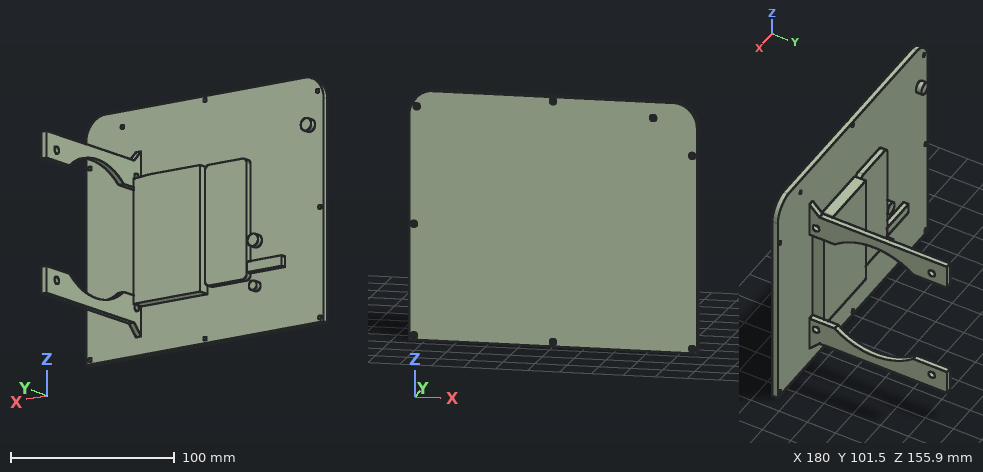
import cadquery as cq
import math

panel_width = 180.0
panel_height = 155.9
panel_thickness = 4.0
panel_corner_radius = 15.0
panel_corner_drop = 14.8
overall_depth = 101.5

screw_hole_diameter = 2.3
screw_head_diameter = 4.0
screw_head_angle = 90.0
screw_edge_offset = 2.9
screw_upper_z = 146.0
screw_left_upper_x = 4.7
screw_right_upper_x = 152.6
screw_top_z = 153.4
screw_right_z = 123.5
screw_left_z = 72.5
screw_right_x = panel_width - screw_edge_offset
screw_positions = [
    (screw_edge_offset, screw_edge_offset),
    (panel_width / 2, screw_edge_offset),
    (screw_right_x, screw_edge_offset),
    (screw_edge_offset, screw_left_z),
    (screw_right_x, screw_right_z),
    (screw_left_upper_x, screw_upper_z),
    (screw_right_upper_x, screw_upper_z),
    (panel_width / 2, screw_top_z),
]

arm_left_x = 138.2
arm_thickness = 4.0
arm_center_y = 49.7
arm_center_z = 70.0
arm_outer_half_height = 51.1
arm_inner_half_height = 34.0
arm_bore_radius = 44.0
arm_gusset = 7.2
arm_hole_diameter = 4.5
arm_hole_spacing = 82.0

boss_height = 4.0
tall_pad_height = 2 * boss_height
tall_pad_left_x = 87.8
tall_pad_bend_x = 126.2
tall_pad_bottom_z = 30.6
tall_pad_top_z = 110.3
tall_pad_end_drop = 0.9

rounded_pad_left_x = 55.5
rounded_pad_right_x = 87.0
rounded_pad_bottom_z = 34.5
rounded_pad_top_z = 110.7
rounded_pad_corner_radius = 3.0

bar_left_x = 29.2
bar_bottom_z = 38.7
bar_top_z = 45.4
bar_height = 3.6

large_boss_diameter = 8.0
large_boss_positions = [(10.5, 125.0), (50.8, 58.3)]
small_boss_diameter = 6.0
small_boss_position = (50.8, 29.7)


def upright_plane(y):
    """Sketch plane at depth y, with local axes along X and Z."""
    return cq.Workplane("XZ", origin=(0, y, 0))


def extrude_back(sketch, height):
    """Extrude an upright sketch toward the back (+Y)."""
    return sketch.extrude(-height)


def make_panel():
    """Panel whose upper corner arcs leave the sides smoothly and meet the top edge at a slight angle."""
    arc_center_z = panel_height - panel_corner_drop
    arc_end_offset = math.sqrt(panel_corner_radius**2 - panel_corner_drop**2)
    arc_end_x = panel_corner_radius - arc_end_offset
    outline = (
        upright_plane(0)
        .lineTo(panel_width, 0)
        .lineTo(panel_width, arc_center_z)
        .radiusArc((panel_width - arc_end_x, panel_height), -panel_corner_radius)
        .lineTo(arc_end_x, panel_height)
        .radiusArc((0, arc_center_z), -panel_corner_radius)
        .close()
    )
    return extrude_back(outline, panel_thickness)


def make_arms():
    arm_top_z = arm_center_z + arm_outer_half_height
    gusset_y = panel_thickness + arm_gusset
    side = cq.Workplane("YZ", origin=(arm_left_x, 0, 0))
    blank = side.polyline([
        (panel_thickness, arm_center_z - arm_outer_half_height - arm_gusset),
        (gusset_y, arm_center_z - arm_outer_half_height),
        (overall_depth, arm_center_z - arm_outer_half_height),
        (overall_depth, arm_top_z),
        (gusset_y, arm_top_z),
        (panel_thickness, arm_top_z + arm_gusset),
    ]).close().extrude(arm_thickness)
    gap_depth = overall_depth - panel_thickness
    gap = (
        side.center((overall_depth + panel_thickness) / 2, arm_center_z)
        .rect(gap_depth, 2 * arm_inner_half_height)
        .extrude(arm_thickness)
    )
    bore = side.center(arm_center_y, arm_center_z).circle(arm_bore_radius).extrude(arm_thickness)
    holes = (
        side.center(arm_center_y, arm_center_z)
        .rect(arm_hole_spacing, arm_hole_spacing, forConstruction=True)
        .vertices()
        .circle(arm_hole_diameter / 2)
        .extrude(arm_thickness)
    )
    return blank.cut(gap).cut(bore).cut(holes)


def make_tall_pad():
    outline = upright_plane(panel_thickness).polyline([
        (tall_pad_left_x, tall_pad_bottom_z),
        (arm_left_x, tall_pad_bottom_z),
        (arm_left_x, tall_pad_top_z - tall_pad_end_drop),
        (tall_pad_bend_x, tall_pad_top_z),
        (tall_pad_left_x, tall_pad_top_z),
    ]).close()
    return extrude_back(outline, tall_pad_height)


def make_pad(left_x, right_x, bottom_z, top_z, height):
    outline = (
        upright_plane(panel_thickness)
        .center((left_x + right_x) / 2, (bottom_z + top_z) / 2)
        .rect(right_x - left_x, top_z - bottom_z)
    )
    return extrude_back(outline, height)


def make_bosses(positions, diameter):
    outline = upright_plane(panel_thickness).pushPoints(positions).circle(diameter / 2)
    return extrude_back(outline, boss_height)


rounded_pad = make_pad(
    rounded_pad_left_x, rounded_pad_right_x, rounded_pad_bottom_z, rounded_pad_top_z, boss_height
).edges("|Y").fillet(rounded_pad_corner_radius)
bar = make_pad(bar_left_x, rounded_pad_left_x, bar_bottom_z, bar_top_z, bar_height)

body = (
    make_panel()
    .union(make_arms())
    .union(make_tall_pad())
    .union(rounded_pad)
    .union(bar)
    .union(make_bosses(large_boss_positions, large_boss_diameter))
    .union(make_bosses([small_boss_position], small_boss_diameter))
)
result = (
    upright_plane(0)
    .add(body)
    .pushPoints(screw_positions)
    .cskHole(screw_hole_diameter, screw_head_diameter, screw_head_angle)
)